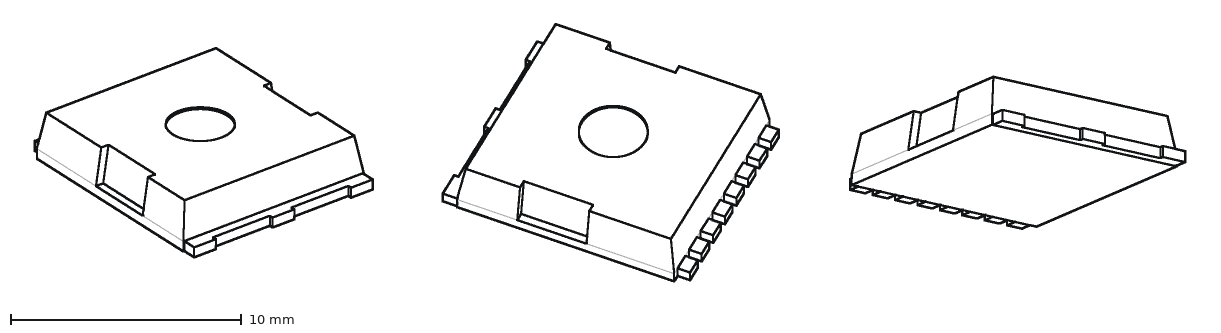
import cadquery as cq

total_length = 11.68
housing_width = 9.9
total_height = 2.32
base_height = 0.5

lead_count = 8
lead_length = 0.6
lead_width = 0.81
lead_row_span = 8.4
lead_pitch = lead_row_span / (lead_count - 1)

tab_length = 0.7
tab_width = 9.8
prong_length = 0.2
prong_width = 1.19
prong_spacing = (tab_width - prong_width) / 2

housing_length = total_length - lead_length - tab_length
housing_left = lead_length - total_length / 2
housing_right = housing_left + housing_length
housing_center_x = (housing_left + housing_right) / 2
wall_slope_inset = 0.29
slope_height = total_height - base_height

recess_length = 3.3
recess_depth = 0.4
recess_offset = 0.65

mark_diameter = 3.0
mark_depth = 0.1


def make_wall_recess(side):
    """Recess cutter for the wall at +Y (side = 1) or -Y (side = -1).

    Its back face is parallel to the sloped wall and its floor is the top of the base.
    """
    wall_y = side * housing_width / 2
    floor_y = wall_y - side * recess_depth
    top_y = floor_y - side * wall_slope_inset
    recess_start = housing_center_x + recess_offset - recess_length / 2
    profile = [
        (wall_y, base_height),
        (floor_y, base_height),
        (top_y, total_height),
        (wall_y, total_height),
    ]
    return (
        cq.Workplane("YZ", origin=(recess_start, 0, 0))
        .polyline(profile)
        .close()
        .extrude(recess_length)
    )


def make_housing():
    """Straight base, sloped upper walls, two wall recesses and a shallow round mark."""
    base = (
        cq.Workplane("XY", origin=(housing_center_x, 0, 0))
        .rect(housing_length, housing_width)
        .extrude(base_height)
    )
    sloped_top = (
        cq.Workplane("XY", origin=(housing_center_x, 0, base_height))
        .rect(housing_length, housing_width)
        .workplane(offset=slope_height)
        .rect(housing_length - 2 * wall_slope_inset, housing_width - 2 * wall_slope_inset)
        .loft(ruled=True)
    )
    mark = (
        cq.Workplane("XY", origin=(housing_center_x, 0, total_height))
        .circle(mark_diameter / 2)
        .extrude(-mark_depth)
    )
    body = base.union(sloped_top).cut(mark)
    for side in (-1, 1):
        body = body.cut(make_wall_recess(side))
    return body.solids()


def make_lead(center_y):
    """One rectangular lead, butted against the -X face of the housing."""
    return (
        cq.Workplane("XY", origin=(housing_left - lead_length / 2, center_y, 0))
        .rect(lead_length, lead_width)
        .extrude(base_height)
    )


def make_tab():
    """Flat tab, butted against the +X face of the housing, with prongs at its outer edge."""
    strip_length = tab_length - prong_length
    strip_end = housing_right + strip_length
    tab = (
        cq.Workplane("XY", origin=(housing_right + strip_length / 2, 0, 0))
        .rect(strip_length, tab_width)
        .extrude(base_height)
    )
    prongs = (
        cq.Workplane("XY", origin=(strip_end + prong_length / 2, 0, 0))
        .pushPoints([(0, row * prong_spacing) for row in (-1, 0, 1)])
        .rect(prong_length, prong_width)
        .extrude(base_height)
    )
    return tab.union(prongs).solids()


housing = make_housing()
leads = [make_lead(index * lead_pitch - lead_row_span / 2) for index in range(lead_count)]
tab = make_tab()

result = cq.Compound.makeCompound([housing.val(), *[lead.val() for lead in leads], tab.val()])